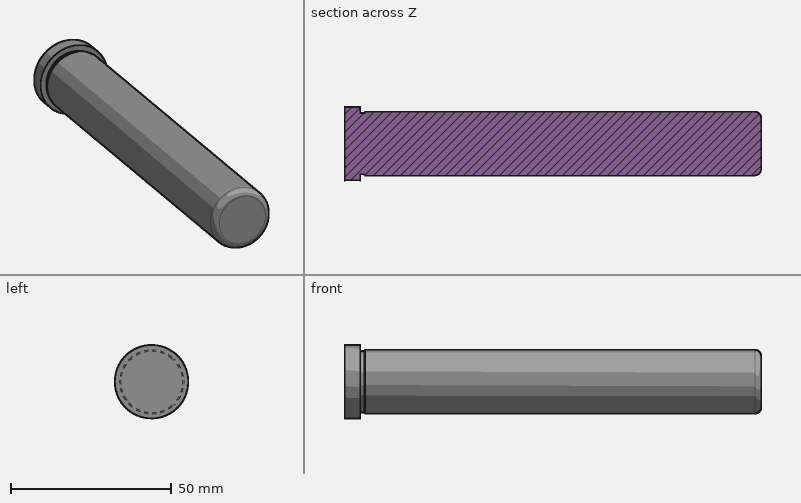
import cadquery as cq

total_length = 130.0
head_diameter = 23.0
head_thickness = 5.0
shank_diameter = 20.0
relief_width = 1.5
relief_depth = 0.4
tip_fillet = 2.1

head_radius = head_diameter / 2
shank_radius = shank_diameter / 2
relief_radius = shank_radius - relief_depth
relief_end = head_thickness + relief_width

profile = (
    cq.Workplane("XY")
    .moveTo(0, 0)
    .lineTo(0, head_radius)
    .lineTo(head_thickness, head_radius)
    .lineTo(head_thickness, relief_radius)
    .lineTo(relief_end - relief_depth, relief_radius)
    .lineTo(relief_end, shank_radius)
    .lineTo(total_length, shank_radius)
    .lineTo(total_length, 0)
    .close()
)
pin = profile.revolve(360, (0, 0, 0), (1, 0, 0))

result = pin.faces(">X").edges().fillet(tip_fillet)